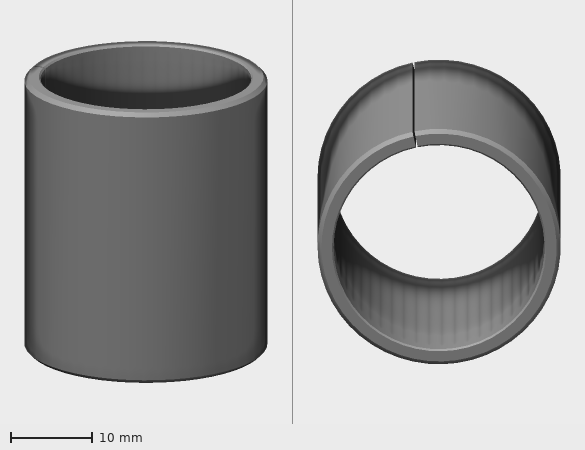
import cadquery as cq

length = 35.0
outer_diameter = 30.0
wall = 2.0
end_chamfer = 0.5
bore_chamfer = 0.2
gap_angle = 1.0

outer_radius = outer_diameter / 2
bore_radius = outer_radius - wall

wall_section = [
    (-bore_radius - bore_chamfer, 0),
    (-outer_radius + end_chamfer, 0),
    (-outer_radius, end_chamfer),
    (-outer_radius, length - end_chamfer),
    (-outer_radius + end_chamfer, length),
    (-bore_radius - bore_chamfer, length),
    (-bore_radius, length - bore_chamfer),
    (-bore_radius, bore_chamfer),
]

result = (
    cq.Workplane("XZ")
    .polyline(wall_section)
    .close()
    .revolve(360 - gap_angle, (0, 0, 0), (0, 1, 0))
)